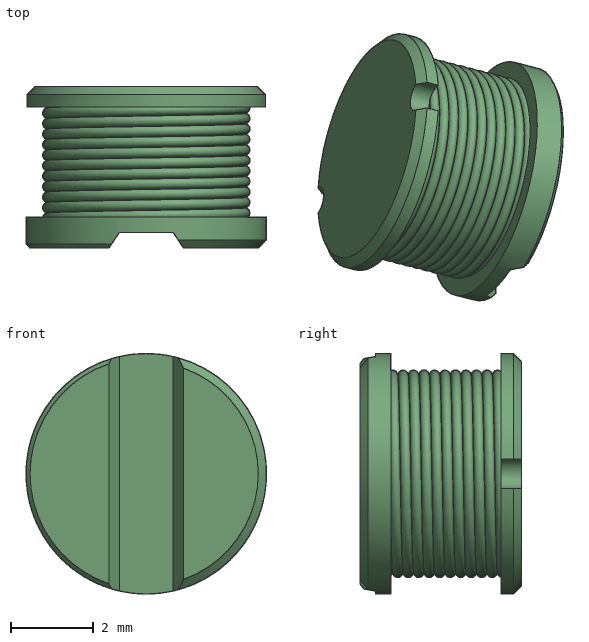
import cadquery as cq
import math

flange_radius = 2.9
total_length = 3.9
front_thickness = 0.75
back_thickness = 0.5
back_start = total_length - back_thickness

left_chamfer = 0.1
right_chamfer = 0.2
back_chamfer = 0.2

slot_mouth_width = 1.8
slot_floor_width = 1.3
slot_depth = front_thickness / 2

notch_radius = 0.36
notch_bottom = 2.375

winding_radius = 2.5
winding_pitch = 0.253
wire_radius = 0.124
helix_radius = winding_radius - wire_radius
core_radius = 2.4
core_reach_front = 0.3
core_reach_back = 0.4
core_seam_angle = 137
first_crest_offset = 0.1


def disc(start, thickness):
    """Flange-sized disc along +Y from the given position."""
    return cq.Workplane("XZ", origin=(0, start, 0)).circle(flange_radius).extrude(-thickness)


def half_front_flange(side, chamfer):
    """Half of the front flange on the +X (side = 1) or -X (side = -1) side."""
    chamfered = disc(0, front_thickness).faces("<Y").chamfer(chamfer)
    half_space = cq.Workplane("XY").box(
        flange_radius, front_thickness, 2 * flange_radius
    ).translate((side * flange_radius / 2, front_thickness / 2, 0))
    return chamfered.intersect(half_space)


def front_flange():
    flange = half_front_flange(-1, left_chamfer).union(half_front_flange(1, right_chamfer))
    slot = (
        cq.Workplane("XY")
        .polyline([
            (-slot_mouth_width / 2, 0),
            (slot_mouth_width / 2, 0),
            (slot_floor_width / 2, slot_depth),
            (-slot_floor_width / 2, slot_depth),
        ])
        .close()
        .extrude(flange_radius, both=True)
    )
    return flange.cut(slot)


def back_flange():
    return disc(back_start, back_thickness).faces(">Y").chamfer(back_chamfer)


def lead_notch(side):
    """Round-bottomed notch through the back flange, on the +X (side = 1) or -X (side = -1) side."""
    bottom_centre = notch_bottom + notch_radius
    return (
        cq.Workplane("XZ", origin=(0, back_start, 0))
        .moveTo(side * flange_radius, notch_radius)
        .lineTo(side * bottom_centre, notch_radius)
        .threePointArc((side * notch_bottom, 0), (side * bottom_centre, -notch_radius))
        .lineTo(side * flange_radius, -notch_radius)
        .close()
        .extrude(-back_thickness)
    )


def core():
    """Core cylinder, reaching into both flanges past the ends of the wire."""
    start = front_thickness - core_reach_front
    end = back_start + core_reach_back
    cylinder = cq.Workplane("XZ", origin=(0, start, 0)).circle(core_radius).extrude(start - end)
    return cylinder.rotate((0, 0, 0), (0, 1, 0), core_seam_angle)


def winding():
    """Helical wire whose two ends are buried inside the flanges."""
    start = front_thickness + first_crest_offset - winding_pitch
    turns = math.ceil((back_start - start) / winding_pitch)
    helix = cq.Wire.makeHelix(winding_pitch, turns * winding_pitch, helix_radius)
    wire = cq.Workplane("XZ").moveTo(helix_radius, 0).circle(wire_radius).sweep(helix, isFrenet=True)
    return wire.rotate((0, 0, 0), (1, 0, 0), -90).translate((0, start, 0))


result = core().union(winding()).union(front_flange()).union(back_flange())
for side in (-1, 1):
    result = result.cut(lead_notch(side))